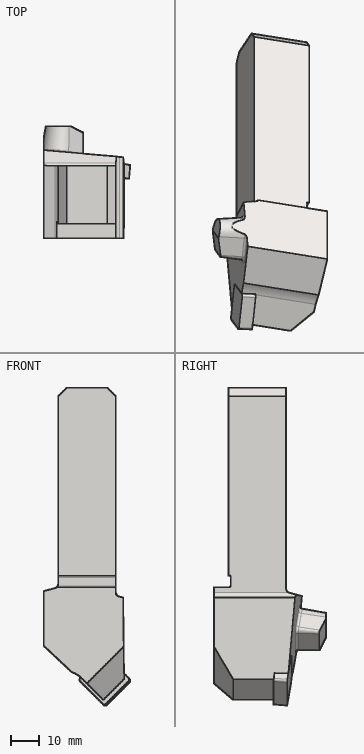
import cadquery as cq
import math


total_height = 110.0
shank_size = 20.0
shank_top_chamfer = 3.0

head_left = -5.0
head_front = -5.0
head_right_top = 22.55
head_right_bottom = 22.85
head_left_corner_z = 20.7
front_shoulder_z = 41.0
back_shoulder_z = 39.4
right_shoulder_z = 38.1
shoulder_angle = 15.0
shoulder_slope = math.tan(math.radians(shoulder_angle))
shoulder_fillet = 1.5

relief_start = (4.7, 11.6)
relief_middle = (6.6, 10.7)
relief_end_x = 7.95

undercut_depth = 0.8
undercut_top_z = 45.0
undercut_fillet = 0.5

insert_size = 12.7
insert_thickness = 4.76
insert_overhang_left = 1.15
insert_overhang_right = 2.15
rake_angle = 7.0
insert_corner_radius = 0.8
insert_corner_x = 16.35
insert_corner_y = 20.3

chamfer_height = 8.05
chamfer_depth = 6.65

nozzle_center = (0.45, 27.4)
nozzle_radius = 4.7
nozzle_length = 7.5
nozzle_corner_radius = 0.8
nozzle_taper = 5.0
nozzle_end_y = 33.81
nozzle_slope_start = 0.7
nozzle_slope_angle = 20.0
nozzle_base_fillet = 1.0
nozzle_crown = 1.5
nozzle_depth = 10.0
nozzle_foot_overlap = 3.0
nozzle_foot_margin = 1.0

far = 60.0
head_back_limit = 30.0

root_half = math.sqrt(0.5)
nozzle_crown_inset = nozzle_crown * math.tan(math.radians(nozzle_taper))
insert_corner_z = -insert_corner_radius * (math.sqrt(2) - 1) * math.cos(math.radians(rake_angle))
insert_corner = (insert_corner_x, insert_corner_y, insert_corner_z)
seat_sum = insert_corner_x + insert_corner_z + insert_overhang_left / root_half
seat_difference = insert_corner_x - insert_corner_z - insert_overhang_right / root_half
seat_tip = ((seat_sum + seat_difference) / 2, (seat_sum - seat_difference) / 2)


def rake_plane(origin):
    """Plane along the rake face: local x runs down to the tip, local y runs down to the left."""
    tilt = math.radians(rake_angle)
    down = (math.cos(tilt) * root_half, -math.sin(tilt), -math.cos(tilt) * root_half)
    outward = (math.sin(tilt) * root_half, math.cos(tilt), -math.sin(tilt) * root_half)
    return cq.Plane(origin=origin, xDir=down, normal=outward)


def edges_along_y(x, z):
    """Selector for the edges parallel to Y that stand at the given X and Z."""
    margin = 0.01
    return cq.selectors.BoxSelector((x - margin, -far, z - margin), (x + margin, far, z + margin))


def holder_blank():
    """Shank and head as one outline in X and Z, as deep as the thickest part of the head."""
    left_shoulder_z = front_shoulder_z + head_left * shoulder_slope
    right_end_z = right_shoulder_z - (head_right_top - shank_size) * shoulder_slope
    chamfer = shank_top_chamfer
    blank = (
        cq.Workplane("XZ", origin=(0, head_front, 0))
        .moveTo(chamfer, total_height)
        .lineTo(shank_size - chamfer, total_height)
        .lineTo(shank_size, total_height - chamfer)
        .lineTo(shank_size, right_shoulder_z)
        .lineTo(head_right_top, right_end_z)
        .lineTo(head_right_bottom, head_right_bottom - seat_difference)
        .lineTo(*seat_tip)
        .lineTo(relief_end_x, seat_sum - relief_end_x)
        .threePointArc(relief_middle, relief_start)
        .lineTo(head_left, head_left_corner_z)
        .lineTo(head_left, left_shoulder_z)
        .lineTo(0, front_shoulder_z)
        .lineTo(0, total_height - chamfer)
        .close()
        .extrude(-(head_back_limit - head_front))
    )
    blank = blank.edges(edges_along_y(0, front_shoulder_z)).fillet(shoulder_fillet)
    return blank.edges(edges_along_y(shank_size, right_shoulder_z)).fillet(shoulder_fillet)


def front_space():
    """Space in front of the shank, with the undercut above the front shoulder."""
    undercut_height = undercut_top_z - front_shoulder_z
    undercut = (
        cq.Workplane("XY", origin=(0, 0, front_shoulder_z))
        .box(2 * far, 2 * undercut_depth, undercut_height, centered=(True, True, False))
        .edges("|X and >Y")
        .fillet(undercut_fillet)
    )
    above = cq.Workplane("XY", origin=(0, -far, front_shoulder_z)).box(
        2 * far, 2 * far, total_height, centered=(True, True, False)
    )
    return above.union(undercut)


def back_space():
    """Space behind the shank, above the sloping back shoulder."""
    slope_end_y = shank_size + far
    return (
        cq.Workplane("YZ", origin=(-far, 0, 0))
        .moveTo(shank_size, back_shoulder_z)
        .lineTo(slope_end_y, back_shoulder_z - far * shoulder_slope)
        .lineTo(slope_end_y, 2 * total_height)
        .lineTo(shank_size, 2 * total_height)
        .close()
        .extrude(2 * far)
        .edges(cq.selectors.NearestToPointSelector((0, shank_size, back_shoulder_z)))
        .fillet(shoulder_fillet)
    )


def rake_space():
    """Everything beyond the rake plane, which the insert and the head share."""
    return cq.Workplane(rake_plane(insert_corner)).rect(4 * total_height, 4 * total_height).extrude(far)


def tip_chamfer():
    """Wedge removed from the front of the tip, square to the 45 degree lower right flank."""
    angle = math.atan2(chamfer_depth, chamfer_height)
    plane = cq.Plane(
        origin=(seat_tip[0], head_front + chamfer_depth, seat_tip[1]),
        xDir=(root_half, 0, root_half),
        normal=(
            math.sin(angle) * root_half,
            -math.cos(angle),
            -math.sin(angle) * root_half,
        ),
    )
    return cq.Workplane(plane).rect(2 * far, 2 * far).extrude(far)


def nozzle_prism(overlap, start, depth, taper):
    """Outline of the nozzle widened by an overlap, extruded inwards along the rake normal."""
    plane = rake_plane((nozzle_center[0], nozzle_end_y, nozzle_center[1]))
    half_width = nozzle_radius + overlap
    end = nozzle_length + overlap
    corner = nozzle_corner_radius + overlap
    return (
        cq.Workplane(plane)
        .workplane(offset=start)
        .moveTo(0, half_width)
        .threePointArc((-half_width, 0), (0, -half_width))
        .lineTo(end - corner, -half_width)
        .tangentArcPoint((end, corner - half_width), relative=False)
        .lineTo(end, half_width - corner)
        .tangentArcPoint((end - corner, half_width), relative=False)
        .close()
        .extrude(-depth, taper=-taper)
    )


def nozzle_end_space():
    """Space beyond the nozzle: flat over the round end, then sloping towards the cutting tip."""
    slope = math.tan(math.radians(nozzle_slope_angle))
    plane = cq.Plane(
        origin=(nozzle_center[0], nozzle_end_y, nozzle_center[1]),
        xDir=(root_half, 0, -root_half),
        normal=(root_half, 0, root_half),
    )
    return (
        cq.Workplane(plane)
        .moveTo(-far, 0)
        .lineTo(nozzle_slope_start, 0)
        .lineTo(far, -(far - nozzle_slope_start) * slope)
        .lineTo(far, far)
        .lineTo(-far, far)
        .close()
        .extrude(far, both=True)
    )


def coolant_nozzle():
    """Tapered nozzle on a foot sunk into the head, with a fillet where it meets the rake face."""
    nozzle = nozzle_prism(-nozzle_crown_inset, nozzle_crown, nozzle_crown + nozzle_depth, nozzle_taper)
    foot = nozzle_prism(nozzle_foot_overlap, 0, nozzle_depth + nozzle_foot_margin, 0).cut(rake_space())
    joined = foot.union(nozzle)
    left_space = cq.Workplane("XY").box(far, 2 * far, 2 * far).translate((head_left - far / 2, 0, 0))
    rake_face = joined.faces(cq.selectors.DirectionNthSelector(rake_plane((0, 0, 0)).zDir, -2)).val()
    joined = joined.newObject(rake_face.innerWires()[0].Edges()).fillet(nozzle_base_fillet)
    return joined.cut(nozzle_end_space()).cut(left_space)


insert = (
    cq.Workplane(rake_plane(insert_corner))
    .rect(-insert_size, -insert_size, centered=False)
    .extrude(-insert_thickness)
    .edges(cq.selectors.ParallelDirSelector(rake_plane(insert_corner).zDir))
    .fillet(insert_corner_radius)
)
holder = holder_blank().cut(front_space()).cut(back_space()).cut(rake_space()).cut(tip_chamfer())
holder = holder.union(coolant_nozzle()).cut(insert)
result = cq.Compound.makeCompound([holder.val(), insert.val()])